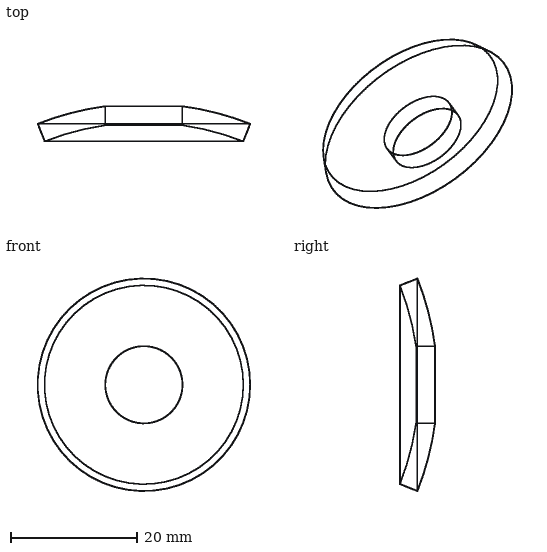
import cadquery as cq
import math

outer_diameter = 33.7
hole_diameter = 12.2
convex_radius = 45.83
shell_thickness = 3.0

outer_radius = outer_diameter / 2
hole_radius = hole_diameter / 2
concave_radius = convex_radius - shell_thickness

rim_angle = math.asin(outer_radius / convex_radius)

center_y = -concave_radius * math.cos(rim_angle)


def point_at_angle(sphere_radius, angle):
    """Profile point on a sphere, at an angle from the Y axis."""
    return (sphere_radius * math.sin(angle), center_y + sphere_radius * math.cos(angle))


def hole_edge_angle(sphere_radius):
    """Angle from the Y axis at which the hole meets a sphere."""
    return math.asin(hole_radius / sphere_radius)


def half_profile():
    """Closed section of the dished washer on the +X side of the Y axis."""
    concave_hole_angle = hole_edge_angle(concave_radius)
    convex_hole_angle = hole_edge_angle(convex_radius)
    concave_mid_angle = (concave_hole_angle + rim_angle) / 2
    convex_mid_angle = (convex_hole_angle + rim_angle) / 2
    return (
        cq.Workplane("XY")
        .moveTo(*point_at_angle(concave_radius, concave_hole_angle))
        .threePointArc(
            point_at_angle(concave_radius, concave_mid_angle),
            point_at_angle(concave_radius, rim_angle),
        )
        .lineTo(*point_at_angle(convex_radius, rim_angle))
        .threePointArc(
            point_at_angle(convex_radius, convex_mid_angle),
            point_at_angle(convex_radius, convex_hole_angle),
        )
        .close()
    )


result = half_profile().revolve(360, (0, 0, 0), (0, 1, 0))